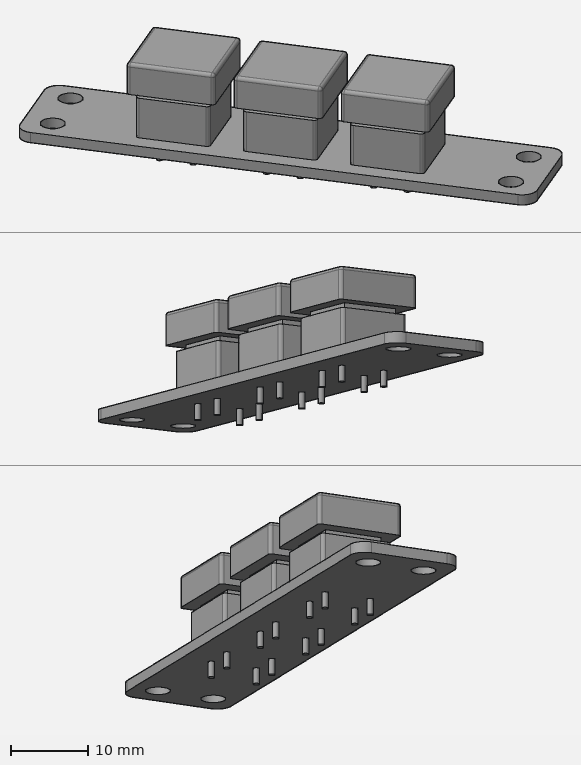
import cadquery as cq

BOARD_LENGTH = 70.0
BOARD_WIDTH = 15.0
BOARD_THICKNESS = 1.5
BOARD_CORNER_RADIUS = 2.0
MOUNT_HOLE_DIAMETER = 3.2
MOUNT_HOLE_END_INSET = 4.0
MOUNT_HOLE_SIDE_INSET = 3.5

BUTTON_COUNT = 3
BUTTON_PITCH = 14.5

BASE_SIDE = 10.0
BASE_HEIGHT = 5.7
STEM_SIDE = 8.0
STEM_HEIGHT = 0.85
CAP_SIDE = 12.0
CAP_HEIGHT = 4.4
EDGE_RADIUS = 0.5

PIN_DIAMETER = 0.85
PIN_SPACING_X = 4.55
PIN_SPACING_Y = 6.5
PIN_PROTRUSION = 2.1
PIN_LENGTH = BOARD_THICKNESS + PIN_PROTRUSION

BUTTON_CENTERS_X = [(i - (BUTTON_COUNT - 1) / 2) * BUTTON_PITCH for i in range(BUTTON_COUNT)]


def make_pins(center_x, length):
    """Four pin cylinders under one button, hanging down from the top face of the board."""
    return (
        cq.Workplane("XY", origin=(center_x, 0, 0))
        .rect(PIN_SPACING_X, PIN_SPACING_Y, forConstruction=True)
        .vertices()
        .circle(PIN_DIAMETER / 2)
        .extrude(-length)
    )


def make_block(center_x, bottom, side, height):
    """Square block standing on the height `bottom`."""
    return cq.Workplane("XY", origin=(center_x, 0, bottom)).rect(side, side).extrude(height)


def make_board():
    """Rounded plate with four mounting holes and a fitting hole for every pin."""
    board = cq.Workplane("XY").rect(BOARD_LENGTH, BOARD_WIDTH).extrude(-BOARD_THICKNESS)
    board = board.edges("|Z").fillet(BOARD_CORNER_RADIUS)
    board = (
        board.faces(">Z")
        .workplane()
        .rect(
            BOARD_LENGTH - 2 * MOUNT_HOLE_END_INSET,
            BOARD_WIDTH - 2 * MOUNT_HOLE_SIDE_INSET,
            forConstruction=True,
        )
        .vertices()
        .hole(MOUNT_HOLE_DIAMETER)
    )
    for center_x in BUTTON_CENTERS_X:
        board = board.cut(make_pins(center_x, BOARD_THICKNESS))
    return board.solids()


def make_button(center_x):
    """One push button: base, narrow stem, wide cap and four pins as a single solid."""
    base = make_block(center_x, 0, BASE_SIDE, BASE_HEIGHT)
    base = base.edges("|Z").fillet(EDGE_RADIUS)

    stem = make_block(center_x, BASE_HEIGHT, STEM_SIDE, STEM_HEIGHT)

    cap = make_block(center_x, BASE_HEIGHT + STEM_HEIGHT, CAP_SIDE, CAP_HEIGHT)
    cap = cap.edges("|Z or >Z").fillet(EDGE_RADIUS)

    pins = make_pins(center_x, PIN_LENGTH)
    return base.union(stem).union(cap).union(pins).solids()


board = make_board()
buttons = [make_button(center_x) for center_x in BUTTON_CENTERS_X]

result = cq.Compound.makeCompound([board.val(), *[button.val() for button in buttons]])